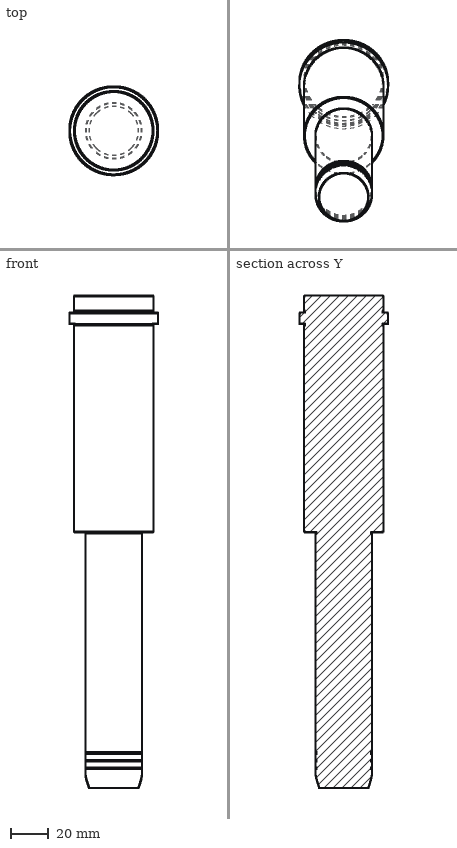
import cadquery as cq
import math

total_length = 260.0
head_length = 125.0
head_base_z = total_length - head_length

head_radius = 42.0 / 2
collar_radius = 47.0 / 2
collar_drop = 9.0
collar_height = 6.0
collar_top_z = total_length - collar_drop
collar_base_z = collar_top_z - collar_height
edge_chamfer = 0.5

stem_radius = 30.0 / 2
tip_height = 7.0
tip_radius = 13.1
tip_bulge = 0.2
tip_chamfer = 0.2

neck_height = 0.5
neck_depth = 0.5
head_neck_radius = head_radius - neck_depth
stem_neck_radius = stem_radius - neck_depth
lower_neck_base_z = collar_base_z - neck_height
upper_neck_top_z = collar_top_z + neck_height
stem_top_z = head_base_z - neck_height

groove_count = 3
groove_pitch = 4.0
groove_radius = 0.5
lowest_groove_z = 10.5


def cylinder(radius, base_z, top_z):
    """Cylinder on the Z axis between two heights."""
    return cq.Workplane("XY").workplane(offset=base_z).circle(radius).extrude(top_z - base_z)


def revolve_about_z(profile):
    """Full revolution of a closed XZ profile about the part axis."""
    return profile.revolve(360, (0, 0, 0), (0, 1, 0))


def make_tip():
    """Lead-in tip, whose flank is a shallow convex arc above a small chamfer."""
    mid_radius = (stem_radius + tip_radius) / 2 + tip_bulge
    mid_z = (tip_chamfer + tip_height) / 2
    profile = (
        cq.Workplane("XZ")
        .lineTo(tip_radius - tip_chamfer, 0)
        .lineTo(tip_radius, tip_chamfer)
        .threePointArc((mid_radius, mid_z), (stem_radius, tip_height))
        .lineTo(0, tip_height)
        .close()
    )
    return revolve_about_z(profile)


def make_stem():
    """Plain stem with the relief neck that meets the head."""
    shaft = cylinder(stem_radius, tip_height, stem_top_z)
    return shaft.union(cylinder(stem_neck_radius, stem_top_z, head_base_z))


def make_head_section(base_z, top_z):
    """Length of the head with both of its end edges chamfered."""
    return cylinder(head_radius, base_z, top_z).edges("%CIRCLE").chamfer(edge_chamfer)


def make_collar():
    """Collar with a chamfered upper rim, joined to the relief necks on both sides."""
    collar = cylinder(collar_radius, collar_base_z, collar_top_z)
    collar = collar.faces(">Z").edges().chamfer(edge_chamfer)
    return collar.union(cylinder(head_neck_radius, lower_neck_base_z, upper_neck_top_z))


def make_groove(center_z):
    """Half-round ring of material removed to form one groove."""
    diagonal = groove_radius * math.sqrt(0.5)
    profile = (
        cq.Workplane("XZ")
        .moveTo(stem_radius, center_z - groove_radius)
        .threePointArc(
            (stem_radius - diagonal, center_z - diagonal),
            (stem_radius - groove_radius, center_z),
        )
        .threePointArc(
            (stem_radius - diagonal, center_z + diagonal),
            (stem_radius, center_z + groove_radius),
        )
        .close()
    )
    return revolve_about_z(profile)


result = (
    make_tip()
    .union(make_stem())
    .union(make_head_section(head_base_z, lower_neck_base_z))
    .union(make_collar())
    .union(make_head_section(upper_neck_top_z, total_length))
)

for index in range(groove_count):
    result = result.cut(make_groove(lowest_groove_z + index * groove_pitch))